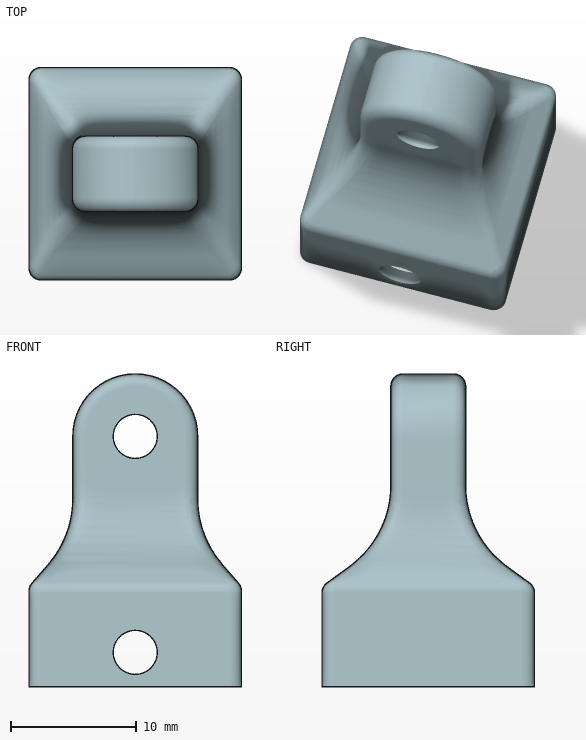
import cadquery as cq

base_side = 17.0
base_height = 8.0
wall = 1.0
cavity_height = base_height - wall
cross_hole_height = 2.75

tab_width = 10.0
tab_thickness = 6.0
total_height = 25.0
tab_radius = tab_width / 2
tab_hole_height = total_height - tab_radius

shoulder_top = 12.0
blend_radius = 8.0

hole_diameter = 3.5
edge_radius = 1.0
tolerance = 0.002


def outline_points(half_tab):
    """Outline of base, slope and tab, symmetric about the vertical axis."""
    half_base = base_side / 2
    right = [
        (half_base, 0),
        (half_base, base_height),
        (half_tab, shoulder_top),
        (half_tab, total_height),
    ]
    left = [(-x, z) for x, z in reversed(right)]
    return right + left


def extrude_profile(plane, half_tab):
    """Prism of the outline, concave corners blended, as deep as the base."""
    prism = cq.Workplane(plane).polyline(outline_points(half_tab)).close()
    prism = prism.extrude(base_side / 2, both=True)
    corner_box = cq.selectors.BoxSelector(
        (-base_side, -base_side, shoulder_top - tolerance),
        (base_side, base_side, shoulder_top + tolerance),
    )
    return prism.edges(corner_box).fillet(blend_radius)


def cross_hole(height):
    """Round cutter along Y through the whole part."""
    return (
        cq.Workplane("XZ")
        .center(0, height)
        .circle(hole_diameter / 2)
        .extrude(base_side, both=True)
    )


body = extrude_profile("XZ", tab_width / 2).intersect(extrude_profile("YZ", tab_thickness / 2))

top_corners = cq.selectors.BoxSelector(
    (-base_side, -tolerance, total_height - tolerance),
    (base_side, tolerance, total_height + tolerance),
)
body = body.edges(top_corners).fillet(tab_radius - tolerance)

body = body.edges("not(<Z)").fillet(edge_radius)

cavity_side = base_side - 2 * wall
cavity = cq.Workplane("XY").rect(cavity_side, cavity_side).extrude(cavity_height)

result = body.cut(cavity).cut(cross_hole(cross_hole_height)).cut(cross_hole(tab_hole_height))